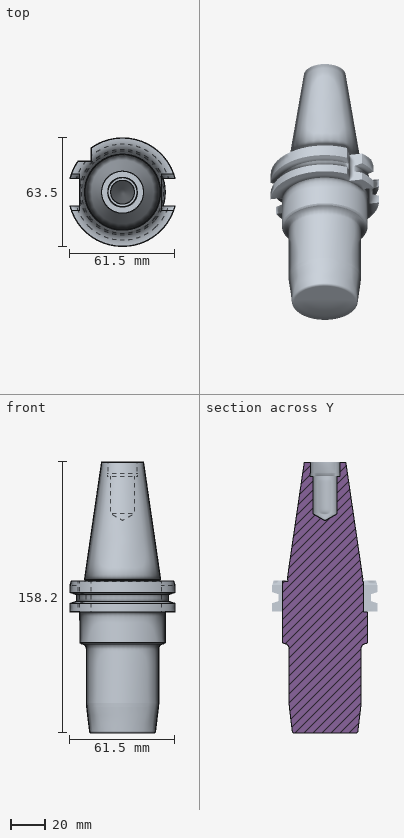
import cadquery as cq

TOTAL_HEIGHT = 158.2
GAUGE_Z = 89.9
FLANGE_TOP_Z = 89.0
FLANGE_BOTTOM_Z = 70.9
GROOVE_MID_Z = 79.0
BODY_BOTTOM_Z = 52.5
NECK_TOP_Z = 49.4
NOSE_BREAK_Z = 17.4
NOSE_TAPER_Z = 15.0

TAPER_TOP_DIA = 24.5
TAPER_BASE_DIA = 44.5
RELIEF_DIA = 43.8
RELIEF_OUTER_DIA = 47.3
FLANGE_DIA = 63.5
GROOVE_DIA = 56.2
BODY_DIA = 50.0
NECK_DIA = 42.4
NOSE_BREAK_DIA = 42.0
NOSE_DIA = 38.3

GROOVE_FLOOR_WIDTH = 4.0
GROOVE_MOUTH_WIDTH = 6.5

RELIEF_DEPTH = 0.3
BODY_CHAMFER = 0.5
NECK_FILLET = 2.8
NOSE_FILLET = 1.3

MOUTH_DIA = 17.0
MOUTH_DEPTH = 6.5
RECESS_DIA = 17.4
RECESS_DEPTH = 8.2
PILOT_DIA = 14.0
PILOT_DEPTH = 30.0
DRILL_TIP_HEIGHT = 4.0

SLOT_WIDTH = 16.0
SLOT_CHAMFER = 2.7
LEFT_SLOT_X = -25.0
RIGHT_SLOT_X = 22.6
NOTCH_X = -18.4
NOTCH_Y = 18.2


def revolve_profile(profile):
    """Revolve a closed half profile in the XZ plane about the Z axis."""
    return profile.close().revolve(360, (0, 0, 0), (0, 1, 0))


def turned_shape():
    neck_radius = NECK_DIA / 2
    body_radius = BODY_DIA / 2
    fillet_end_x = neck_radius + NECK_FILLET
    fillet_mid_x = neck_radius + NECK_FILLET * (1 - 0.5**0.5)
    fillet_top_z = NECK_TOP_Z + NECK_FILLET
    fillet_mid_z = NECK_TOP_Z + NECK_FILLET * 0.5**0.5
    profile = (
        cq.Workplane("XZ")
        .lineTo(NOSE_DIA / 2, 0)
        .lineTo(NOSE_BREAK_DIA / 2, NOSE_TAPER_Z)
        .lineTo(neck_radius, NOSE_BREAK_Z)
        .lineTo(neck_radius, NECK_TOP_Z)
        .threePointArc((fillet_mid_x, fillet_mid_z), (fillet_end_x, fillet_top_z))
        .lineTo(body_radius - BODY_CHAMFER, BODY_BOTTOM_Z)
        .lineTo(body_radius, BODY_BOTTOM_Z + BODY_CHAMFER)
        .lineTo(body_radius, FLANGE_BOTTOM_Z)
        .lineTo(FLANGE_DIA / 2, FLANGE_BOTTOM_Z)
        .lineTo(FLANGE_DIA / 2, GROOVE_MID_Z - GROOVE_MOUTH_WIDTH / 2)
        .lineTo(GROOVE_DIA / 2, GROOVE_MID_Z - GROOVE_FLOOR_WIDTH / 2)
        .lineTo(GROOVE_DIA / 2, GROOVE_MID_Z + GROOVE_FLOOR_WIDTH / 2)
        .lineTo(FLANGE_DIA / 2, GROOVE_MID_Z + GROOVE_MOUTH_WIDTH / 2)
        .lineTo(FLANGE_DIA / 2, FLANGE_TOP_Z)
        .lineTo(RELIEF_OUTER_DIA / 2, FLANGE_TOP_Z)
        .lineTo(RELIEF_DIA / 2, FLANGE_TOP_Z - RELIEF_DEPTH)
        .lineTo(RELIEF_DIA / 2, GAUGE_Z - RELIEF_DEPTH)
        .lineTo(TAPER_BASE_DIA / 2, GAUGE_Z)
        .lineTo(TAPER_TOP_DIA / 2, TOTAL_HEIGHT)
        .lineTo(0, TOTAL_HEIGHT)
    )
    return revolve_profile(profile).faces("<Z").edges().fillet(NOSE_FILLET)


def taper_bore():
    mouth_z = TOTAL_HEIGHT - MOUTH_DEPTH
    recess_z = TOTAL_HEIGHT - RECESS_DEPTH
    pilot_z = TOTAL_HEIGHT - PILOT_DEPTH
    profile = (
        cq.Workplane("XZ")
        .moveTo(0, TOTAL_HEIGHT)
        .lineTo(MOUTH_DIA / 2, TOTAL_HEIGHT)
        .lineTo(MOUTH_DIA / 2, mouth_z)
        .lineTo(RECESS_DIA / 2, mouth_z)
        .lineTo(RECESS_DIA / 2, recess_z)
        .lineTo(PILOT_DIA / 2, recess_z)
        .lineTo(PILOT_DIA / 2, pilot_z)
        .lineTo(0, pilot_z - DRILL_TIP_HEIGHT)
    )
    return revolve_profile(profile)


def drive_slot(floor_x):
    """Slot open to the outside of the flange, with chamfered top edges."""
    side = 1 if floor_x > 0 else -1
    half_width = SLOT_WIDTH / 2
    return (
        cq.Workplane("YZ", origin=(floor_x, 0, 0))
        .moveTo(-half_width, FLANGE_BOTTOM_Z)
        .lineTo(half_width, FLANGE_BOTTOM_Z)
        .lineTo(half_width, FLANGE_TOP_Z - SLOT_CHAMFER)
        .lineTo(half_width + SLOT_CHAMFER, FLANGE_TOP_Z)
        .lineTo(-half_width - SLOT_CHAMFER, FLANGE_TOP_Z)
        .lineTo(-half_width, FLANGE_TOP_Z - SLOT_CHAMFER)
        .close()
        .extrude(side * FLANGE_DIA / 2)
    )


def orientation_notch():
    height = FLANGE_TOP_Z - FLANGE_BOTTOM_Z
    reach = FLANGE_DIA / 2
    corner = (NOTCH_X - reach, NOTCH_Y, FLANGE_BOTTOM_Z)
    return cq.Workplane("XY", origin=corner).box(reach, reach, height, centered=False)


result = turned_shape().cut(taper_bore()).cut(orientation_notch())
for slot_floor_x in (LEFT_SLOT_X, RIGHT_SLOT_X):
    result = result.cut(drive_slot(slot_floor_x))